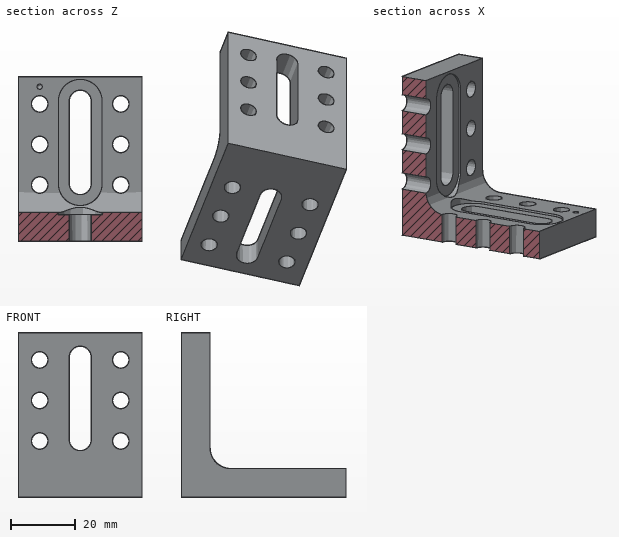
import cadquery as cq
import math

WIDTH = 38.1
LEG_LENGTH = 50.8
THICKNESS = 8.89
INNER_FILLET = 6.35

HOLE_DIAMETER = 5.0
COLUMN_SPACING = 25.0
ROW_SPACING = 12.5
ROW_COUNT = 3
LAST_ROW_FROM_END = 8.45

SLOT_WIDTH = 6.73
RECESS_WIDTH = 13.5
SLOT_TRAVEL = 25.4
SLOT_CENTER_FROM_CORNER = 30.48
RECESS_DEPTH = 0.64

PILOT_DIAMETER = 1.6
PILOT_DEPTH = 0.5
PILOT_FROM_END = 3.15
DRILL_POINT_ANGLE = 118.0


def make_body():
    """L profile in the YZ plane, centred on X, outer corner at Y = Z = 0."""
    return (
        cq.Workplane("YZ")
        .moveTo(0, 0)
        .lineTo(LEG_LENGTH, 0)
        .lineTo(LEG_LENGTH, THICKNESS)
        .lineTo(THICKNESS + INNER_FILLET, THICKNESS)
        .radiusArc((THICKNESS, THICKNESS + INNER_FILLET), INNER_FILLET)
        .lineTo(THICKNESS, LEG_LENGTH)
        .lineTo(0, LEG_LENGTH)
        .close()
        .extrude(WIDTH / 2, both=True)
    )


def make_slot(width, bottom, height):
    """Round-ended slot running along the horizontal leg, starting at Z = bottom."""
    return (
        cq.Workplane("XY", origin=(0, SLOT_CENTER_FROM_CORNER, bottom))
        .slot2D(SLOT_TRAVEL + width, width, 90)
        .extrude(height)
    )


def make_leg_cutter():
    """Holes, slot and recess of the horizontal leg."""
    last_row = LEG_LENGTH - LAST_ROW_FROM_END
    hole_centers = [
        (side * COLUMN_SPACING / 2, last_row - row * ROW_SPACING)
        for side in (-1, 1)
        for row in range(ROW_COUNT)
    ]
    cut_height = THICKNESS + INNER_FILLET
    holes = cq.Workplane("XY").pushPoints(hole_centers).circle(HOLE_DIAMETER / 2).extrude(cut_height)
    slot = make_slot(SLOT_WIDTH, 0, cut_height)
    recess_floor = THICKNESS - RECESS_DEPTH
    recess = make_slot(RECESS_WIDTH, recess_floor, cut_height - recess_floor)
    return holes.union(slot).union(recess)


def swap_legs(cutter):
    """Mirror in the plane Y = Z, turning a horizontal-leg cutter into a vertical-leg one."""
    return cutter.mirror("XY").rotate((0, 0, 0), (1, 0, 0), 90)


def make_pilot_cutter():
    """Drill shape, from its tip to its mouth on the inner face of the horizontal leg."""
    radius = PILOT_DIAMETER / 2
    point_length = radius / math.tan(math.radians(DRILL_POINT_ANGLE / 2))
    return (
        cq.Workplane("XZ")
        .moveTo(0, 0)
        .lineTo(radius, 0)
        .lineTo(radius, -PILOT_DEPTH)
        .lineTo(0, -PILOT_DEPTH - point_length)
        .close()
        .revolve(360, (0, 0, 0), (0, 1, 0))
        .translate((-COLUMN_SPACING / 2, LEG_LENGTH - PILOT_FROM_END, THICKNESS))
    )


leg_cutter = make_leg_cutter()
result = make_body().cut(leg_cutter).cut(swap_legs(leg_cutter)).cut(make_pilot_cutter())